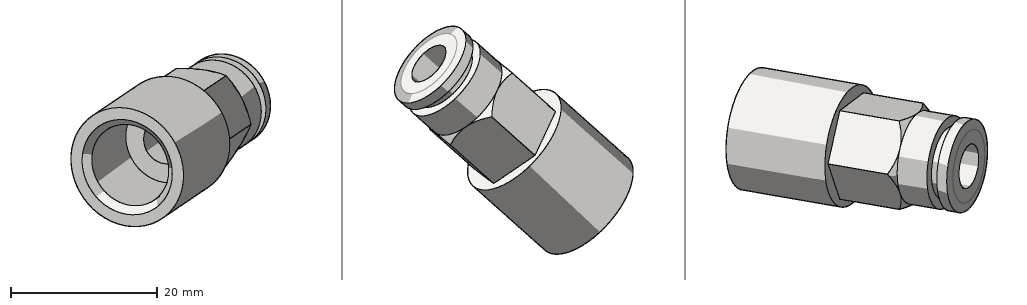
import cadquery as cq
import math

socket_length = 15.0
hex_length = 10.0
shoulder_length = 4.5
groove_length = 1.5
collar_length = 1.75

socket_diameter = 17.0
hex_across_flats = 13.0
hex_corner_diameter = 15.0
shoulder_diameter = 13.0
groove_diameter = 10.1
collar_diameter = 13.0

hex_bevel = (hex_corner_diameter - hex_across_flats) / 2
collar_bevel_length = 0.25
collar_bevel_angle = math.radians(10)
collar_bevel_width = collar_bevel_length / math.tan(collar_bevel_angle)

tube_bore_diameter = 6.2
socket_bore_diameter = 11.6
socket_bore_depth = 12.0
mouth_diameter = 13.6
mouth_depth = (mouth_diameter - socket_bore_diameter) / 2

hex_start = socket_length
hex_end = hex_start + hex_length
shoulder_end = hex_end + shoulder_length
groove_end = shoulder_end + groove_length
total_length = groove_end + collar_length


def revolve_about_y(half_profile):
    """Revolve a closed (radius, y) outline about the Y axis."""
    return cq.Workplane("XY").polyline(half_profile).close().revolve(360, (0, 0, 0), (0, 1, 0))


def cylinder(diameter, start, end):
    """Round section along Y between two stations."""
    radius = diameter / 2
    return revolve_about_y([(0, start), (radius, start), (radius, end), (0, end)])


def hex_section():
    """Hexagon with corners on the X axis, trimmed by a cylinder that is bevelled at the far end."""
    across_corners = hex_across_flats / math.cos(math.pi / 6)
    prism = (
        cq.Workplane("XZ", origin=(0, hex_start, 0))
        .polygon(6, across_corners)
        .extrude(-hex_length)
    )
    corner_radius = hex_corner_diameter / 2
    envelope = revolve_about_y([
        (0, hex_start),
        (corner_radius, hex_start),
        (corner_radius, hex_end - hex_bevel),
        (corner_radius - hex_bevel, hex_end),
        (0, hex_end),
    ])
    return prism.intersect(envelope)


def release_collar():
    """End collar with a shallow bevel on its outer face."""
    radius = collar_diameter / 2
    return revolve_about_y([
        (0, groove_end),
        (radius, groove_end),
        (radius, total_length - collar_bevel_length),
        (radius - collar_bevel_width, total_length),
        (0, total_length),
    ])


def bores():
    """Tube hole right through, opening into the wider socket with a conical mouth."""
    socket_radius = socket_bore_diameter / 2
    tube_radius = tube_bore_diameter / 2
    return revolve_about_y([
        (0, 0),
        (mouth_diameter / 2, 0),
        (socket_radius, mouth_depth),
        (socket_radius, socket_bore_depth),
        (tube_radius, socket_bore_depth),
        (tube_radius, total_length),
        (0, total_length),
    ])


body = cylinder(socket_diameter, 0, socket_length)
body = body.union(hex_section())
body = body.union(cylinder(shoulder_diameter, hex_end, shoulder_end))
body = body.union(cylinder(groove_diameter, shoulder_end, groove_end))
body = body.union(release_collar())

result = body.cut(bores())